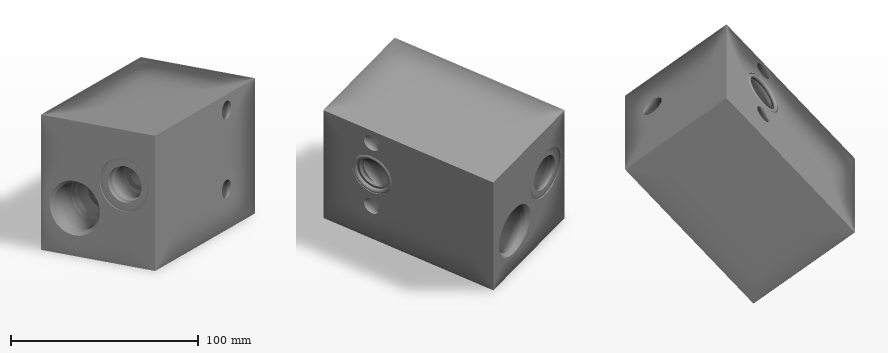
import cadquery as cq
import math

block_x = 70.0
block_y = 108.0
block_z = 76.2

seal_protrusion = 0.3
side_y = 77.1
side_z = 45.3
seal_section_radius = 1.3
seal_outer_radius = 12.6
seal_mean_radius = seal_outer_radius - seal_section_radius
groove_depth = 2 * seal_section_radius - seal_protrusion
lip_depth = 1.9
lip_base_radius = 10.1
lip_top_radius = 9.2
side_bore_radius = 9.0
side_floor_radius = 8.0
side_floor_depth = 3.2
mount_radius = 5.1
mount_spacing = 44.5

cavity_x = 20.7
cavity_z = 27.0
cavity_mouth_radius = 15.3
cavity_mouth_depth = 1.8
cavity_radius = 13.7
cavity_depth = 19.6
cavity_neck_radius = 13.2
cavity_neck_start = 20.0
cavity_neck_depth = 22.7
cavity_seat_radius = 11.8
cavity_seat_start = 24.2
cavity_seat_depth = 32.4
cavity_floor_radius = 11.0
cavity_floor_depth = 33.5
cavity_drill_radius = 8.7
cavity_drill_depth = 64.1

port_x = 51.1
port_z = side_z
spotface_radius = 15.0
spotface_depth = 0.6
port_mouth_radius = 10.3
port_mouth_depth = 3.8
port_thread_radius = 9.3
port_thread_start = 4.9
port_thread_depth = 15.1
port_end_radius = 8.5
port_end_depth = 17.3
port_floor_depth = 18.0
through_radius = 6.4

passage_radius = 6.7
passage_direction = cq.Vector(math.sqrt(2), -1, -1)
passage_lead = passage_radius
passage_depth = 28.9

drill_point_angle = math.radians(118)


def drill_point(radius):
    """Height of the conical end left by a drill."""
    return radius / math.tan(drill_point_angle / 2)


def turned_cutter(steps, origin, direction):
    """Round cutter from (radius, depth) steps, going from origin along direction."""
    last_depth = steps[-1][1]
    points = [(0, 0)] + steps
    if steps[-1][0] > 0:
        points.append((0, last_depth))
    profile = cq.Workplane("XY").polyline(points).close().revolve(360, (0, 0, 0), (0, 1, 0))
    plane = cq.Plane(origin=origin, normal=direction)
    upright = profile.rotate((0, 0, 0), (1, 0, 0), 90)
    return cq.Workplane(upright.val().moved(plane.location))


def cavity_cutter():
    """Stepped valve cavity with a drilled bottom."""
    steps = [
        (cavity_mouth_radius, 0),
        (cavity_radius, cavity_mouth_depth),
        (cavity_radius, cavity_depth),
        (cavity_neck_radius, cavity_neck_start),
        (cavity_neck_radius, cavity_neck_depth),
        (cavity_seat_radius, cavity_seat_start),
        (cavity_seat_radius, cavity_seat_depth),
        (cavity_floor_radius, cavity_floor_depth),
        (cavity_drill_radius, cavity_floor_depth),
        (cavity_drill_radius, cavity_drill_depth),
        (0, cavity_drill_depth + drill_point(cavity_drill_radius)),
    ]
    return turned_cutter(steps, (cavity_x, 0, cavity_z), (0, 1, 0))


def port_cutter():
    """Spotfaced port whose narrow end runs through the whole block."""
    steps = [
        (spotface_radius, 0),
        (spotface_radius, spotface_depth),
        (port_mouth_radius, spotface_depth),
        (port_mouth_radius, port_mouth_depth),
        (port_thread_radius, port_thread_start),
        (port_thread_radius, port_thread_depth),
        (port_end_radius, port_end_depth),
        (through_radius, port_floor_depth),
        (through_radius, block_y),
    ]
    return turned_cutter(steps, (port_x, 0, port_z), (0, 1, 0))


def side_port_cutter():
    """Shallow port with a seal groove around a low sloping lip."""
    steps = [
        (seal_outer_radius, 0),
        (seal_outer_radius, groove_depth),
        (lip_base_radius, groove_depth),
        (lip_top_radius, lip_depth),
        (side_bore_radius, lip_depth),
        (side_floor_radius, side_floor_depth),
    ]
    return turned_cutter(steps, (0, side_y, side_z), (1, 0, 0))


def passage_cutter():
    """Angled drilling with a conical point, centred on the mouth of the lip."""
    length = passage_lead + passage_depth
    steps = [
        (passage_radius, 0),
        (passage_radius, length),
        (0, length + drill_point(passage_radius)),
    ]
    lip_center = cq.Vector(lip_depth, side_y, side_z)
    start = lip_center - passage_direction.normalized() * passage_lead
    return turned_cutter(steps, start, passage_direction)


def mount_hole_cutter(offset_z):
    """Plain hole through the block along X, above or below the side port."""
    steps = [(mount_radius, 0), (mount_radius, block_x)]
    return turned_cutter(steps, (0, side_y, side_z + offset_z), (1, 0, 0))


def make_block():
    """Manifold block with all its ports and holes."""
    body = cq.Workplane("XY").box(block_x, block_y, block_z, centered=False)
    body = body.cut(cavity_cutter()).cut(port_cutter())
    body = body.cut(side_port_cutter()).cut(passage_cutter())
    for side in (-1, 1):
        body = body.cut(mount_hole_cutter(side * mount_spacing / 2))
    return body


def make_seal():
    """O-ring resting on the groove floor and standing slightly proud of the -X face."""
    center = cq.Vector(seal_section_radius - seal_protrusion, side_y, side_z)
    return cq.Solid.makeTorus(seal_mean_radius, seal_section_radius, center, cq.Vector(1, 0, 0))


block = make_block()
seal = make_seal()
result = cq.Compound.makeCompound([block.val(), seal])